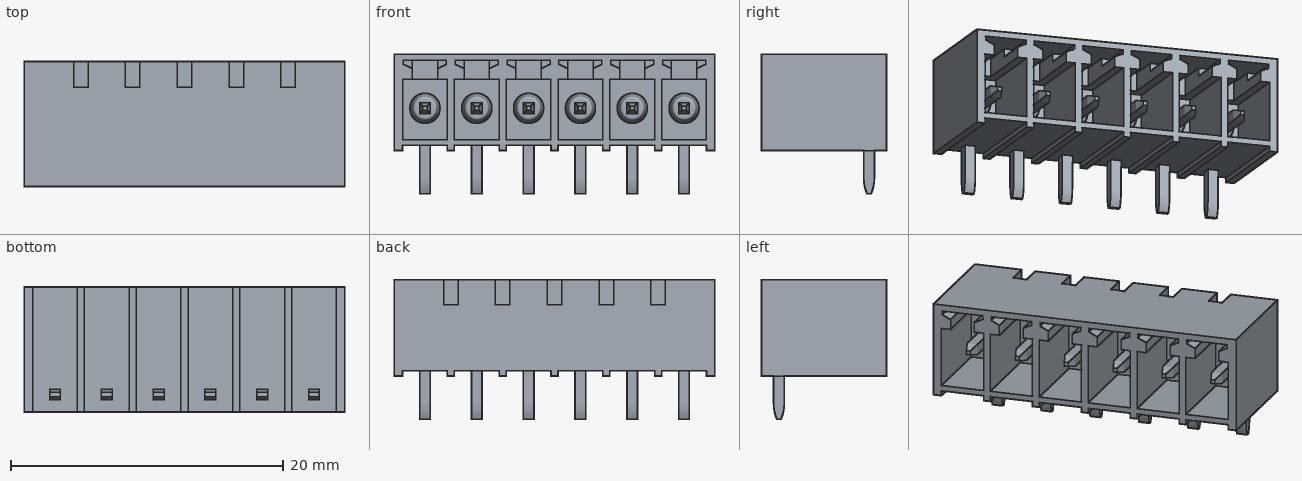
import cadquery as cq

WIDTH = 23.55
DEPTH = 9.2
HEIGHT = 7.1

CONTACTS = 6
END_MARGIN = 2.25
PITCH = (WIDTH - 2 * END_MARGIN) / (CONTACTS - 1)
CONTACT_Z = 3.1

CAVITY_WIDTH = 3.27
CAVITY_BOTTOM = 0.8
CAVITY_TOP = 5.25
CAVITY_DEPTH = 6.6

SLOT_WIDTH = 1.85
SLOT_TOP = 6.62
SLOT_DEPTH = 5.65
WING_SPAN = 3.15
WING_EDGE_HEIGHT = 0.28
WING_ROOT_HEIGHT = 0.6
WING_DEPTH = 2.83

FOOT_HEIGHT = 0.38

NOTCH_WIDTH = 1.05
NOTCH_DEPTH = 1.9
NOTCH_BOTTOM = CAVITY_TOP

BOSS_RADIUS = 0.87
BOSS_BASE_RADIUS = 1.1
BOSS_TIP_RADIUS = 0.68
BOSS_LENGTH = 1.18

PIN_SIZE = 0.8
PIN_FRONT_Y = 1.32
PIN_LEG_REAR_DISTANCE = 1.3
PIN_LEG_Y = DEPTH - PIN_LEG_REAR_DISTANCE
PIN_DROP = 3.18
CONTACT_TIP_SIZE = 0.3
CONTACT_TIP_LENGTH = 0.87
LEG_TIP_SIZE = 0.3
LEG_TIP_LENGTH = 1.15

contact_places = [(i - (CONTACTS - 1) / 2) * PITCH for i in range(CONTACTS)]
notch_places = [(left + right) / 2 for left, right in zip(contact_places, contact_places[1:])]


def block(x_center, width, y_start, y_end, z_bottom, z_top):
    """Box centred on x_center, between the given Y and Z limits."""
    return (
        cq.Workplane("XY")
        .box(width, y_end - y_start, z_top - z_bottom, centered=(True, False, False))
        .translate((x_center, y_start, z_bottom))
    )


def latch_slot(x):
    """Void of one latch slot with its two mouth wings."""
    slot = block(x, SLOT_WIDTH, 0, SLOT_DEPTH, CAVITY_TOP, SLOT_TOP)
    edge_z = SLOT_TOP - WING_EDGE_HEIGHT
    root_z = SLOT_TOP - WING_ROOT_HEIGHT
    wings = (
        cq.Workplane("XZ")
        .polyline(
            [
                (x - WING_SPAN / 2, SLOT_TOP),
                (x - WING_SPAN / 2, edge_z),
                (x - SLOT_WIDTH / 2, root_z),
                (x + SLOT_WIDTH / 2, root_z),
                (x + WING_SPAN / 2, edge_z),
                (x + WING_SPAN / 2, SLOT_TOP),
            ]
        )
        .close()
        .extrude(-WING_DEPTH)
    )
    return slot.union(wings)


def boss(x):
    """Tapered round boss with a rounded edge at its tip."""
    edge_round = BOSS_RADIUS - BOSS_TIP_RADIUS
    return (
        cq.Workplane("XY")
        .moveTo(0, 0)
        .lineTo(BOSS_BASE_RADIUS, 0)
        .lineTo(BOSS_RADIUS, edge_round - BOSS_LENGTH)
        .radiusArc((BOSS_TIP_RADIUS, -BOSS_LENGTH), edge_round)
        .lineTo(0, -BOSS_LENGTH)
        .close()
        .revolve(360, (0, 0), (0, 1))
        .translate((x, CAVITY_DEPTH, CONTACT_Z))
    )


def make_pin(x):
    """L-shaped square pin: a contact pointing forward and a solder leg pointing down."""
    half = PIN_SIZE / 2
    leg_front = PIN_LEG_Y - half
    leg_back = PIN_LEG_Y + half
    shoulder_y = PIN_FRONT_Y + CONTACT_TIP_LENGTH
    shoulder_z = LEG_TIP_LENGTH - PIN_DROP

    contact = block(x, PIN_SIZE, shoulder_y, leg_back, CONTACT_Z - half, CONTACT_Z + half)
    contact_tip = (
        cq.Workplane("XZ", origin=(x, shoulder_y, CONTACT_Z))
        .rect(PIN_SIZE, PIN_SIZE)
        .workplane(offset=CONTACT_TIP_LENGTH)
        .rect(CONTACT_TIP_SIZE, CONTACT_TIP_SIZE)
        .loft(ruled=True)
    )
    taper = (PIN_SIZE - LEG_TIP_SIZE) / 2
    arc_radius = (LEG_TIP_LENGTH**2 + taper**2) / (2 * taper)
    leg = (
        cq.Workplane("YZ", origin=(x - half, 0, 0))
        .moveTo(leg_front, CONTACT_Z)
        .lineTo(leg_front, shoulder_z)
        .radiusArc((leg_front + taper, -PIN_DROP), -arc_radius)
        .lineTo(leg_back - taper, -PIN_DROP)
        .radiusArc((leg_back, shoulder_z), -arc_radius)
        .lineTo(leg_back, CONTACT_Z)
        .close()
        .extrude(PIN_SIZE)
    )
    return contact.union(contact_tip).union(leg)


def make_housing(pins):
    """Housing block with its cavities, slots, bosses, recesses, notches and pin holes."""
    body = block(0, WIDTH, 0, DEPTH, 0, HEIGHT)
    for x, pin in zip(contact_places, pins):
        body = body.cut(block(x, CAVITY_WIDTH, 0, CAVITY_DEPTH, CAVITY_BOTTOM, CAVITY_TOP))
        body = body.cut(latch_slot(x))
        body = body.cut(block(x, CAVITY_WIDTH, 0, DEPTH, 0, FOOT_HEIGHT))
        body = body.union(boss(x))
        body = body.cut(pin)
    for x in notch_places:
        body = body.cut(block(x, NOTCH_WIDTH, DEPTH - NOTCH_DEPTH, DEPTH, NOTCH_BOTTOM, HEIGHT))
    return body


pins = [make_pin(x) for x in contact_places]
housing = make_housing(pins)

result = cq.Compound.makeCompound([housing.val(), *[pin.val() for pin in pins]])